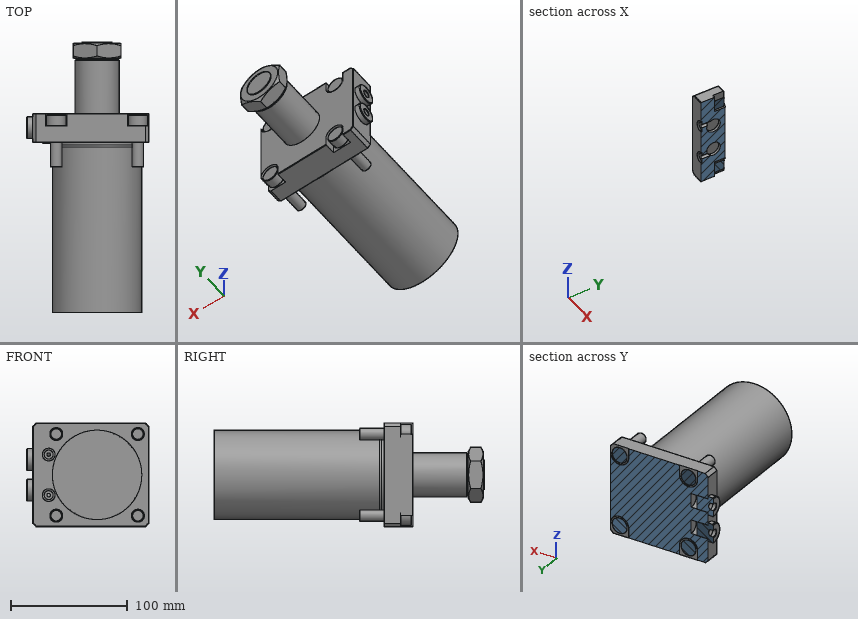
import cadquery as cq
import math


overall_length = 232.0
overall_width = 105.0

flange_height = 89.0
flange_thickness = 25.0
flange_width = 99.7
corner_chamfer = 3.0
rim_chamfer = 0.5

barrel_diameter = 76.8
barrel_length = 145.7
barrel_neck_diameter = 75.2
barrel_neck_length = 2.0
barrel_shoulder_length = 1.6

rod_diameter = 38.0
rod_end_chamfer = 0.7
rod_neck_diameter = 36.2
rod_neck_length = 1.0
hex_across_flats = 41.0
hex_length = 13.0
hex_face_diameter = 39.7
hex_corner_chamfer = 2.0
end_disc_diameter = 25.5
end_disc_height = 1.0

bolt_offset = 35.0
bolt_shank_diameter = 10.0
bolt_protrusion = 20.9
bolt_tip_chamfer = 0.5
bolt_head_diameter = 16.5
bolt_head_height = 9.7
bolt_head_chamfer = 0.58
bolt_hole_diameter = 11.1
head_slot_width = 18.0
head_slot_depth = 11.0

plug_z_offset = 13.1
plug_y = 13.0
plug_head_diameter = 19.0
plug_head_chamfer = 0.7
plug_shank_diameter = 13.2
plug_shank_length = 11.5
plug_socket_diameter = 6.5
plug_socket_chamfer = 0.5
plug_socket_depth = 3.7
drill_point_angle = 118.0
port_depth = 17.5

oil_hole_x = -41.5
oil_hole_z_offset = 17.5
oil_hole_diameter = 3.0
seal_recess_diameter = 11.0
seal_recess_depth = 1.2
seal_section_diameter = 1.6

flange_right = flange_height / 2
flange_left = flange_right - flange_width
plug_head_height = overall_width - flange_width
rod_back = overall_length - barrel_length
hex_back = rod_back - end_disc_height
hex_front = hex_back - hex_length
rod_shoulder = hex_front - rod_neck_length
bolt_seat_y = flange_thickness - head_slot_depth


def y_cylinder(diameter, start, end, x=0, z=0):
    """Cylinder parallel to Y from y = start to y = end."""
    return cq.Workplane("XZ", origin=(x, start, z)).circle(diameter / 2).extrude(start - end)


def x_cylinder(diameter, start, end, y, z):
    """Cylinder parallel to X from x = start to x = end."""
    return cq.Workplane("YZ", origin=(start, y, z)).circle(diameter / 2).extrude(end - start)


def turned_about_y(profile):
    """Solid of revolution about Y from (radius, y) points."""
    return cq.Workplane("XY").polyline(profile).close().revolve(360, (0, 0), (0, 1))


def make_flange_block():
    block = (
        cq.Workplane("XY")
        .box(flange_width, flange_thickness, flange_height)
        .translate(((flange_left + flange_right) / 2, flange_thickness / 2, 0))
        .edges("|Y")
        .chamfer(corner_chamfer)
    )
    return block.faces("<Y or >Y").chamfer(rim_chamfer)


def make_barrel():
    neck_radius = barrel_neck_diameter / 2
    radius = barrel_diameter / 2
    shoulder_y = -barrel_neck_length - barrel_shoulder_length
    return turned_about_y([
        (0, 0),
        (neck_radius, 0),
        (neck_radius, -barrel_neck_length),
        (radius, shoulder_y),
        (radius, -barrel_length),
        (0, -barrel_length),
    ])


def make_rod():
    radius = rod_diameter / 2
    neck_radius = rod_neck_diameter / 2
    return turned_about_y([
        (0, flange_thickness),
        (radius, flange_thickness),
        (radius, rod_shoulder - rod_end_chamfer),
        (radius - rod_end_chamfer, rod_shoulder),
        (neck_radius, rod_shoulder),
        (neck_radius, hex_front),
        (0, hex_front),
    ])


def make_hex_end():
    """Hexagon with flats facing +X and -X, its corners turned off conically at both ends."""
    corner_radius = hex_across_flats / 2 / math.cos(math.pi / 6)
    face_radius = hex_face_diameter / 2
    prism = (
        cq.Workplane("XZ", origin=(0, hex_front, 0))
        .polygon(6, 2 * corner_radius)
        .extrude(-hex_length)
        .rotate((0, 0, 0), (0, 1, 0), 30)
    )
    envelope = turned_about_y([
        (0, hex_front),
        (face_radius, hex_front),
        (corner_radius, hex_front + hex_corner_chamfer),
        (corner_radius, hex_back - hex_corner_chamfer),
        (face_radius, hex_back),
        (0, hex_back),
    ])
    return prism.intersect(envelope).union(y_cylinder(end_disc_diameter, hex_back, rod_back))


def cut_bolt_seats(housing):
    """Clearance holes, and head slots open to the top or bottom; the right ones also open to the right."""
    slot_end = flange_height / 2
    half_slot = head_slot_width / 2
    for x, opening_right in ((-bolt_offset, half_slot - bolt_offset), (bolt_offset, flange_right)):
        opening_left = x - half_slot
        for side in (-1, 1):
            z = side * bolt_offset
            opening = (
                cq.Workplane("XY")
                .box(opening_right - opening_left, head_slot_depth, slot_end - bolt_offset)
                .translate((
                    (opening_left + opening_right) / 2,
                    bolt_seat_y + head_slot_depth / 2,
                    side * (slot_end + bolt_offset) / 2,
                ))
            )
            housing = (
                housing
                .cut(y_cylinder(bolt_hole_diameter, 0, flange_thickness, x, z))
                .cut(y_cylinder(head_slot_width, bolt_seat_y, flange_thickness, x, z))
                .cut(opening)
            )
    return housing


def cut_oil_ports(housing):
    """Plugged ports in the left face, each met by an oil hole from the front face."""
    for side in (-1, 1):
        port_end = flange_left + port_depth
        port = x_cylinder(plug_shank_diameter, flange_left, port_end, plug_y, side * plug_z_offset)
        hole_z = side * oil_hole_z_offset
        oil_hole = y_cylinder(oil_hole_diameter, 0, plug_y, oil_hole_x, hole_z)
        recess = y_cylinder(seal_recess_diameter, 0, seal_recess_depth, oil_hole_x, hole_z)
        housing = housing.cut(port).cut(oil_hole).cut(recess)
    return housing


def make_housing():
    housing = make_flange_block().union(make_barrel()).union(make_rod()).union(make_hex_end())
    return cut_oil_ports(cut_bolt_seats(housing))


def make_bolt(x, z):
    """Cap screw with its head seated in the flange slot and its tip toward -Y."""
    head_end = bolt_seat_y + bolt_head_height
    head = (
        y_cylinder(bolt_head_diameter, bolt_seat_y, head_end, x, z)
        .faces("<Y or >Y")
        .chamfer(bolt_head_chamfer)
    )
    shank = (
        y_cylinder(bolt_shank_diameter, -bolt_protrusion, bolt_seat_y, x, z)
        .faces("<Y")
        .chamfer(bolt_tip_chamfer)
    )
    return head.union(shank)


def make_plug(z):
    """Port plug with a drilled, cone-bottomed socket in its head."""
    outer_x = flange_left - plug_head_height
    socket_radius = plug_socket_diameter / 2
    mouth_radius = socket_radius + plug_socket_chamfer
    cone_start = outer_x + plug_socket_depth
    cone_tip = cone_start + socket_radius / math.tan(math.radians(drill_point_angle / 2))

    head = x_cylinder(plug_head_diameter, outer_x, flange_left, plug_y, z).faces("<X").chamfer(plug_head_chamfer)
    shank = x_cylinder(plug_shank_diameter, flange_left, flange_left + plug_shank_length, plug_y, z)
    socket = (
        cq.Workplane("XY", origin=(0, plug_y, z))
        .polyline([
            (outer_x, 0),
            (outer_x, mouth_radius),
            (outer_x + plug_socket_chamfer, socket_radius),
            (cone_start, socket_radius),
            (cone_tip, 0),
        ])
        .close()
        .revolve(360, (0, 0), (1, 0))
    )
    return head.union(shank).cut(socket)


def make_seal(z):
    """O-ring resting on the recess floor and standing slightly proud of the flange face."""
    section_radius = seal_section_diameter / 2
    ring_radius = seal_recess_diameter / 2 - section_radius
    centre = cq.Vector(oil_hole_x, seal_recess_depth - section_radius, z)
    return cq.Solid.makeTorus(ring_radius, section_radius, centre, cq.Vector(0, 1, 0))


housing = make_housing()
bolts = [make_bolt(x, z) for x in (-bolt_offset, bolt_offset) for z in (-bolt_offset, bolt_offset)]
plugs = [make_plug(side * plug_z_offset) for side in (-1, 1)]
seals = [make_seal(side * oil_hole_z_offset) for side in (-1, 1)]

result = cq.Compound.makeCompound([
    housing.val(),
    *[bolt.val() for bolt in bolts],
    *[plug.val() for plug in plugs],
    *seals,
])